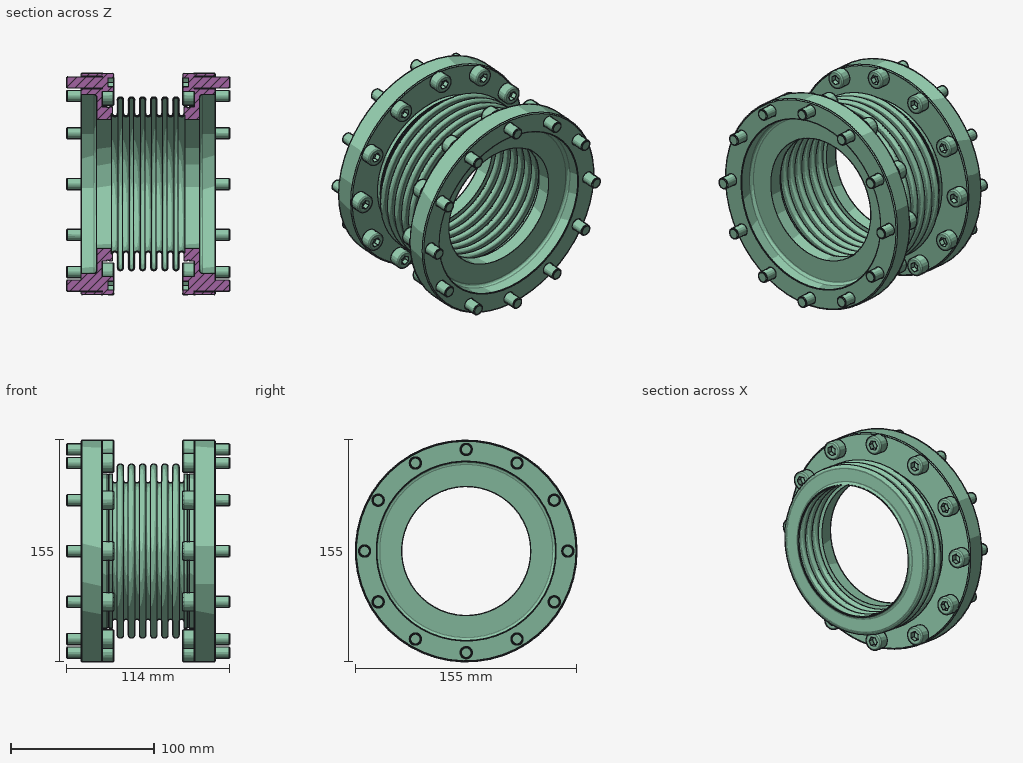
import cadquery as cq
import math


flange_diameter = 155.0
flange_outer_x = 47.0
flange_inner_x = 32.0
flange_chamfer = 0.8
recess_diameter = 125.0
recess_depth = 11.0
recess_fillet = 2.0
recess_rim_chamfer = 0.4
bore_diameter = 90.0

convolution_count = 6
pitch = 7.77
crest_radius = 60.9
root_radius = 47.7
crest_width = 4.65
wall = 0.8

collar_diameter = 108.0
collar_end_x = 28.9
step_diameter = 107.0
step_end_x = 27.9
neck_diameter = 106.78
bead_diameter = 108.0
bead_width = 2.5
bead_fillet = 0.6
bead_inner_x = (convolution_count + 1) * pitch / 2 - crest_width / 2
bead_outer_x = bead_inner_x + bead_width

screw_count = 12
screw_circle_radius = 71.0
screw_diameter = 8.0
screw_hole_diameter = 8.6
screw_tip_x = 56.99
tip_chamfer = 0.6
head_diameter = 13.0
head_height = 8.0
head_fillet = 1.0
socket_width = 6.0
socket_depth = 4.0


def cylinder_along_x(start_x, end_x, diameter):
    return cq.Workplane("YZ", origin=(start_x, 0, 0)).circle(diameter / 2).extrude(end_x - start_x)


def make_flange():
    """Flange on the +X side: chamfered disc with a filleted recess in its outer face."""
    disc = cylinder_along_x(flange_inner_x, flange_outer_x, flange_diameter).edges().chamfer(flange_chamfer)
    recess = cylinder_along_x(flange_outer_x - recess_depth, flange_outer_x, recess_diameter)
    recess = recess.faces("<X").edges().fillet(recess_fillet)
    flange = disc.cut(recess)
    rim = cq.selectors.RadiusNthSelector(0)
    return flange.faces(">X").edges(rim).chamfer(recess_rim_chamfer)


def make_collar():
    """Stepped disc on the inner face of the +X flange, ending in a rounded bead."""
    collar = cylinder_along_x(collar_end_x, flange_inner_x, collar_diameter)
    step = cylinder_along_x(step_end_x, collar_end_x, step_diameter)
    neck = cylinder_along_x(bead_outer_x, step_end_x, neck_diameter)
    bead = cylinder_along_x(bead_inner_x, bead_outer_x, bead_diameter).edges().fillet(bead_fillet)
    return collar.union(step).union(neck).union(bead)


def make_screw():
    """Socket head screw clamped to the inner face of the +X flange, on the X axis."""
    head_end_x = flange_inner_x - head_height
    head = cylinder_along_x(head_end_x, flange_inner_x, head_diameter).faces("<X").edges().fillet(head_fillet)
    shank = cylinder_along_x(flange_inner_x, screw_tip_x, screw_diameter)
    shank = shank.faces(">X").edges().chamfer(tip_chamfer)
    socket_corners = socket_width / math.cos(math.pi / 6)
    socket = cq.Workplane("YZ", origin=(head_end_x, 0, 0)).polygon(6, socket_corners).extrude(socket_depth)
    return head.union(shank).cut(socket)


def around_screw_circle(body):
    placed = body.translate((0, 0, screw_circle_radius))
    copies = cq.Workplane("YZ")
    for index in range(screw_count):
        copies = copies.add(placed.rotate((0, 0, 0), (1, 0, 0), index * 360 / screw_count))
    return copies.combine()


def make_end():
    """Flange, collar and screws of the +X end."""
    hole = cylinder_along_x(flange_inner_x, flange_outer_x, screw_hole_diameter)
    body = make_flange().union(make_collar()).cut(around_screw_circle(hole))
    return body.union(around_screw_circle(make_screw()))


def convolution_solid(crest, root, width):
    """Solid of revolution with half-round crests and roots, starting and ending with half a root."""
    crest_round = width / 2
    root_round = (pitch - width) / 2
    start_x = -convolution_count * pitch / 2
    end_wall_x = -start_x + root_round
    root_top = root + root_round
    crest_base = crest - crest_round

    profile = (
        cq.Workplane("XY")
        .moveTo(-end_wall_x, 0)
        .lineTo(-end_wall_x, root_top)
        .radiusArc((start_x, root), -root_round)
    )
    for index in range(convolution_count):
        left_x = start_x + index * pitch
        center_x = left_x + pitch / 2
        right_x = left_x + pitch
        profile = (
            profile.radiusArc((left_x + root_round, root_top), -root_round)
            .lineTo(center_x - crest_round, crest_base)
            .threePointArc((center_x, crest), (center_x + crest_round, crest_base))
            .lineTo(right_x - root_round, root_top)
            .radiusArc((right_x, root), -root_round)
        )
    profile = profile.radiusArc((end_wall_x, root_top), -root_round).lineTo(end_wall_x, 0).close()
    return profile.revolve(360, (0, 0, 0), (1, 0, 0))


bellows_outside = convolution_solid(crest_radius, root_radius, crest_width)
bellows_inside = convolution_solid(crest_radius - wall, root_radius - wall, crest_width - 2 * wall)
bore = cylinder_along_x(-flange_outer_x, flange_outer_x, bore_diameter)
end = make_end()
result = bellows_outside.union(end).union(end.mirror("YZ")).cut(bellows_inside).cut(bore)